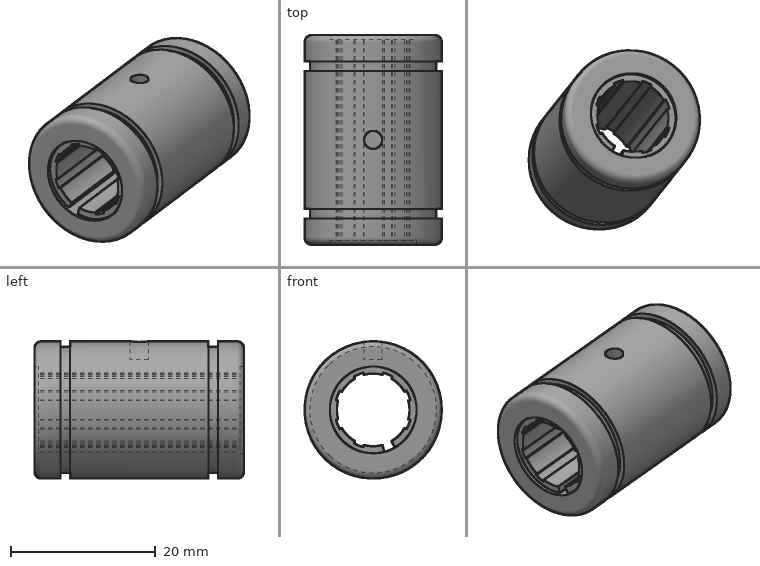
import cadquery as cq
import math

length = 29.0
outer_diameter = 19.0
bore_diameter = 12.0
end_fillet = 1.0

cutter_margin = 1.0
ring_groove_diameter = 17.5
ring_groove_width = 1.3
ring_groove_span = 21.7

liner_recess = 0.6
liner_length = length - 2 * liner_recess
liner_diameter = 10.0

channel_diameter = 10.6
channel_count = 8
channel_pitch = 360 / channel_count
channel_angle = 15.0
slit_index = 6

locating_hole_diameter = 2.5
locating_hole_depth = 2.5


def cylinder(diameter, height):
    """Cylinder along Y, centred on the origin."""
    return cq.Workplane("XZ", origin=(0, height / 2, 0)).circle(diameter / 2).extrude(height)


def ring_groove(centre_y):
    """Ring of material to remove for one retaining-ring groove."""
    ring = cylinder(outer_diameter + cutter_margin, ring_groove_width).cut(
        cylinder(ring_groove_diameter, ring_groove_width)
    )
    return ring.translate((0, centre_y, 0))


def make_sleeve():
    sleeve = cylinder(outer_diameter, length).edges().fillet(end_fillet)
    sleeve = sleeve.cut(cylinder(bore_diameter, length))
    groove_offset = (ring_groove_span - ring_groove_width) / 2
    for centre_y in (-groove_offset, groove_offset):
        sleeve = sleeve.cut(ring_groove(centre_y))
    locating_hole = (
        cq.Workplane("XY", origin=(0, 0, outer_diameter / 2))
        .circle(locating_hole_diameter / 2)
        .extrude(-locating_hole_depth)
    )
    return sleeve.cut(locating_hole)


def channel(centre_angle, diameter):
    """Sector of a cylinder along Y, its sides radial, measured from +X towards +Z."""

    def rim_point(angle):
        radians = math.radians(angle)
        return (diameter / 2 * math.cos(radians), diameter / 2 * math.sin(radians))

    half_angle = channel_angle / 2
    return (
        cq.Workplane("XZ", origin=(0, liner_length / 2, 0))
        .lineTo(*rim_point(centre_angle - half_angle))
        .threePointArc(rim_point(centre_angle), rim_point(centre_angle + half_angle))
        .close()
        .extrude(liner_length)
    )


def make_liner():
    liner = cylinder(bore_diameter, liner_length).cut(cylinder(liner_diameter, liner_length))
    for index in range(channel_count):
        diameter = bore_diameter if index == slit_index else channel_diameter
        liner = liner.cut(channel((index + 0.5) * channel_pitch, diameter))
    return liner


result = make_sleeve().union(make_liner())